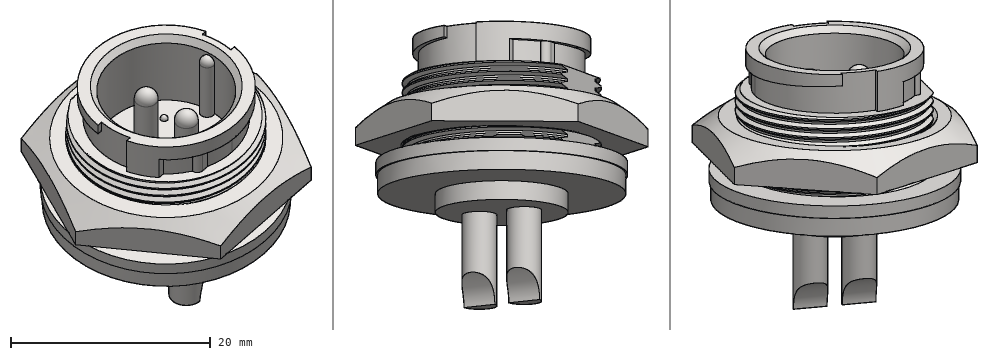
import cadquery as cq
import math


boss_bottom = 9.3
flange_bottom = 11.2
flange_step = 13.1
flange_top = 14.43
nut_bottom = 16.07
nut_top = 19.95
thread_top = 22.82
collar_top = 27.05

flange_radius = 12.6
flange_lower_radius = 12.45
boss_radius = 6.65

thread_radius = 9.97
thread_root_radius = 9.5
thread_pitch = 0.945
thread_base_width = 0.73
thread_crest_width = 0.15
thread_root_overlap = 0.1
last_crest_height = 22.4
shank_flat_distance = 9.05

collar_radius = 8.92
groove_floor_radius = 8.35
entry_half_width = 1.82
groove_entry_depth = 1.17
groove_depth = 1.75
ramp_direction = 25.0
groove_end_x = -4.93
detent_face_x = -7.75
detent_end_y = 4.63
detent_corner_radius = 0.67

socket_radius = 6.95
socket_chamfer = 0.65
socket_floor = 18.57
key_pin_radius = 0.8
key_pin_y = 6.63
key_pin_dome_center = 25.37
marker_radius = 0.4
marker_position = (-2.8, 3.2)

pin_offset = 2.55
contact_radius = 1.2
contact_dome_center = 23.82
solder_pin_radius = 1.75
solder_cut_radius = 3.67

nut_across_corners = 29.33
nut_face_radius = 11.67
nut_corner_drop = 2.08
nut_bore_radius = 9.83
nut_thread_radius = 10.3


def disc(radius, bottom, top):
    """Round bar on the axis between two heights."""
    return cq.Workplane("XY").workplane(offset=bottom).circle(radius).extrude(top - bottom)


def domed_pin(x, y, radius, bottom, dome_center):
    """Upright pin with a hemispherical end."""
    shaft = cq.Workplane("XY").workplane(offset=bottom).center(x, y).circle(radius)
    shaft = shaft.extrude(dome_center - bottom)
    return shaft.union(cq.Workplane("XY").sphere(radius).translate((x, y, dome_center)))


def threaded_bar(root_radius, crest_radius):
    """Bar with a right-hand helical thread, running past both ends of the threaded stretch."""
    turns = math.ceil((last_crest_height - flange_top) / thread_pitch) + 1
    start = last_crest_height - turns * thread_pitch
    length = (turns + 2) * thread_pitch
    slope = (thread_base_width - thread_crest_width) / 2 / (crest_radius - root_radius)
    half_base = thread_base_width / 2 + slope * thread_root_overlap
    half_crest = thread_crest_width / 2
    path = cq.Wire.makeHelix(thread_pitch, length, root_radius, center=cq.Vector(0, 0, start))
    profile = cq.Workplane("XZ").polyline([
        (root_radius - thread_root_overlap, start - half_base),
        (crest_radius, start - half_crest),
        (crest_radius, start + half_crest),
        (root_radius - thread_root_overlap, start + half_base),
    ]).close()
    ridge = profile.sweep(cq.Workplane(path), isFrenet=True)
    return disc(root_radius, boss_bottom, collar_top).union(ridge)


def make_shank():
    """Threaded shank with a flat along its -X side."""
    shank = threaded_bar(thread_root_radius, thread_radius)
    shank = shank.intersect(disc(flange_radius, flange_top, thread_top))
    flat_cutter = cq.Workplane("XY").box(
        flange_radius, 2 * flange_radius, thread_top - flange_top, centered=(False, True, False)
    ).translate((-shank_flat_distance - flange_radius, 0, flange_top))
    return shank.cut(flat_cutter)


def make_notch_cutter():
    """Entry notch on the -Y side, open to the top of the collar."""
    notch = cq.Workplane("XY").workplane(offset=thread_top).center(0, -collar_radius)
    return notch.rect(2 * entry_half_width, collar_radius).extrude(collar_top - thread_top)


def make_level_cutter():
    """Level run over the -X side of the collar, with its end wall and the rounded detent rib."""
    run_height = collar_top - groove_depth - thread_top
    corner = (-collar_radius, -collar_radius, thread_top)
    run = cq.Workplane("XY").box(collar_radius, 2 * collar_radius, run_height, centered=False).translate(corner)
    beyond_end = cq.Workplane("XY").box(-groove_end_x, collar_radius, run_height, centered=False)
    run = run.cut(beyond_end.translate((groove_end_x, 0, thread_top)))
    detent = cq.Workplane("XY").box(-detent_face_x, detent_end_y, run_height, centered=False)
    detent = detent.edges("|Z and <X and >Y").fillet(detent_corner_radius)
    return run.cut(detent.translate((detent_face_x, 0, thread_top)))


def make_ramp_cutter():
    """Wedge above the level run whose sloping roof leads from the notch to the level height."""
    angle = math.radians(ramp_direction)
    notch_edge_y = -math.sqrt(collar_radius**2 - entry_half_width**2)
    start = entry_half_width * math.cos(angle) + notch_edge_y * math.sin(angle)
    end = collar_radius * math.cos(angle)
    level_height = collar_top - groove_depth
    wedge = cq.Workplane("XZ").polyline([
        (start, level_height),
        (start, collar_top - groove_entry_depth),
        (end, level_height),
    ]).close().extrude(collar_radius, both=True)
    wedge = wedge.rotate((0, 0, 0), (0, 0, 1), 180 - ramp_direction)
    corner = (-collar_radius, -collar_radius, level_height)
    quarter = cq.Workplane("XY").box(collar_radius, collar_radius, groove_depth, centered=False)
    return wedge.intersect(quarter.translate(corner))


def make_collar():
    """Bayonet collar with two identical grooves half a turn apart."""
    collar = disc(collar_radius, thread_top, collar_top)
    core = disc(groove_floor_radius, thread_top, collar_top)
    cutter = make_notch_cutter().union(make_level_cutter()).union(make_ramp_cutter())
    for turn in (0, 180):
        collar = collar.cut(cutter.rotate((0, 0, 0), (0, 0, 1), turn))
    return collar.union(core)


def make_socket_cutter():
    """Blind socket with a chamfered mouth."""
    return cq.Workplane("XZ").polyline([
        (0, socket_floor),
        (socket_radius, socket_floor),
        (socket_radius, collar_top - socket_chamfer),
        (socket_radius + socket_chamfer, collar_top),
        (0, collar_top),
    ]).close().revolve(360, (0, 0, 0), (0, 1, 0))


def make_marker():
    """Small half-round bump on the socket floor beside the pins."""
    ball = cq.Workplane("XY").sphere(marker_radius).translate((*marker_position, socket_floor))
    return ball.intersect(disc(socket_radius, socket_floor, collar_top))


def make_solder_pin(x):
    """Rear solder pin with the +Y half of its tip scooped away by a round cutter."""
    pin = disc(solder_pin_radius, 0, boss_bottom).translate((x, 0, 0))
    scoop = cq.Workplane("YZ").center(solder_cut_radius, 0).circle(solder_cut_radius)
    scoop = scoop.extrude(pin_offset + solder_pin_radius, both=True)
    return pin.cut(scoop)


def make_connector():
    """Connector body: flange, rear boss, threaded shank, collar, socket and pins in one piece."""
    connector = disc(boss_radius, boss_bottom, flange_bottom)
    connector = connector.union(disc(flange_lower_radius, flange_bottom, flange_step))
    connector = connector.union(disc(flange_radius, flange_step, flange_top))
    connector = connector.union(make_shank())
    connector = connector.union(make_collar())
    connector = connector.cut(make_socket_cutter())
    connector = connector.union(domed_pin(0, key_pin_y, key_pin_radius, socket_floor, key_pin_dome_center))
    connector = connector.union(make_marker())
    for x in (-pin_offset, pin_offset):
        connector = connector.union(domed_pin(x, 0, contact_radius, socket_floor, contact_dome_center))
        connector = connector.union(make_solder_pin(x))
    return connector


def make_nut():
    """Hexagon nut with a coned top face, threaded with clearance to the shank."""
    height = nut_top - nut_bottom
    corner_radius = nut_across_corners / 2
    hexagon = cq.Workplane("XY").workplane(offset=nut_bottom).polygon(6, nut_across_corners).extrude(height)
    hexagon = hexagon.rotate((0, 0, 0), (0, 0, 1), 90)
    envelope = cq.Workplane("XZ").polyline([
        (0, nut_bottom),
        (corner_radius, nut_bottom),
        (corner_radius, nut_top - nut_corner_drop),
        (nut_face_radius, nut_top),
        (0, nut_top),
    ]).close().revolve(360, (0, 0, 0), (0, 1, 0))
    return hexagon.intersect(envelope).cut(threaded_bar(nut_bore_radius, nut_thread_radius))


connector = make_connector()
nut = make_nut()

result = cq.Compound.makeCompound([connector.val(), nut.val()])